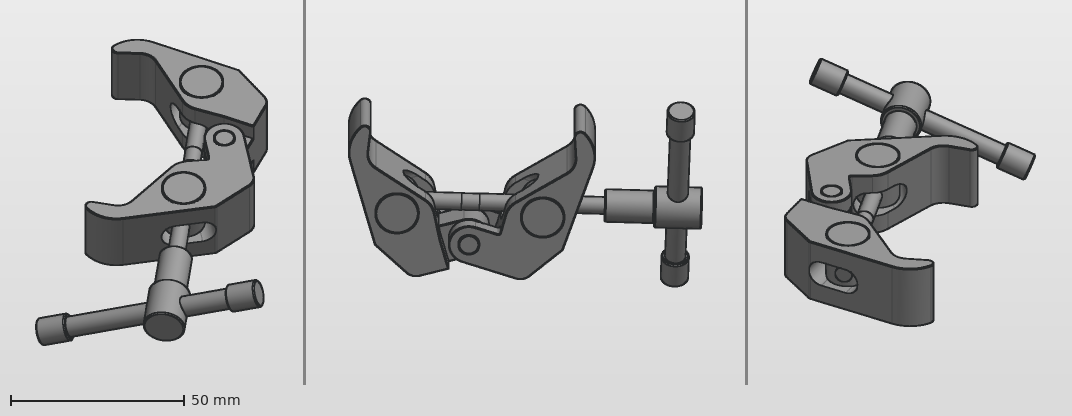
import cadquery as cq
import math


thickness = 20.0
edge_chamfer = 0.3
side_x = 5.85
shoulder_y = 7.55
shoulder_end_x = -3.6
side_corner_y = 18.6
side_corner_radius = 4.0
back_y = 26.25
back_corner_x = -7.1
back_corner_radius = 1.0
nose_x = -34.3
nose_radius = 11.0
tip_x = -44.2
tip_radius = 1.8
finger_angle = 22.0
throat_radius = 5.25
flank_angle = 39.5
heel_x = -15.0
heel_y = 6.75
heel_radius = 6.5

lug_radius = side_x
lug_root_y = 2 * lug_radius
tongue_thickness = 9.5
fork_gap = 10.5
notch_radius = 0.6
lower_jaw_turn = 34.0
hinge_pin_radius = 3.1

barrel_x = -15.0
barrel_y = 17.4
barrel_radius = 6.35
slot_length = 16.0
slot_width = 8.0
end_chamfer = 0.4

screw_diameter = 5.0
neck_diameter = 4.9
neck_start = 18.6
neck_end = 23.8
sleeve_start = 59.9
sleeve_diameter = 9.5
hub_start = 74.3
hub_diameter = 12.0
hub_end = 88.0

handle_station = 80.9
handle_tilt = 21.38
handle_slide = 5.35
handle_length = 68.2
handle_diameter = 6.0
cap_diameter = 8.0
cap_length = 9.0

through = 4 * thickness


def turned(x, y, degrees):
    """Rotate a point about the origin of the XY plane."""
    angle = math.radians(degrees)
    return (
        x * math.cos(angle) - y * math.sin(angle),
        x * math.sin(angle) + y * math.cos(angle),
    )


def on_circle(center, radius, degrees):
    dx, dy = turned(radius, 0, degrees)
    return (center[0] + dx, center[1] + dy)


def vertical_edge_at(x, y):
    return cq.selectors.NearestToPointSelector((x, y, 0))


def chamfered_faces(body):
    """Chamfer the outline of the top and bottom faces."""
    return body.faces("<Z or >Z").edges().chamfer(edge_chamfer)


def jaw_body():
    """Jaw plate without its hinge lug."""
    nose_center = (nose_x, back_y - nose_radius)
    tip_center_x = tip_x + tip_radius
    center_dx = tip_center_x - nose_x
    center_dy = math.sqrt((nose_radius - tip_radius) ** 2 - center_dx**2)
    tip_center = (tip_center_x, nose_center[1] + center_dy)
    nose_end_angle = math.degrees(math.atan2(center_dy, center_dx))
    nose_mid_angle = (90 + nose_end_angle) / 2

    finger_start = on_circle(tip_center, tip_radius, finger_angle - 90)
    finger_slope = math.tan(math.radians(finger_angle))
    flank_slope = math.tan(math.radians(flank_angle))
    finger_rise = heel_y - finger_start[1] + finger_slope * finger_start[0]
    throat_x = (finger_rise + flank_slope * heel_x) / (finger_slope + flank_slope)
    throat_y = heel_y + flank_slope * (heel_x - throat_x)

    body = (
        cq.Workplane("XY", origin=(0, 0, -thickness / 2))
        .moveTo(side_x, shoulder_y)
        .lineTo(side_x, side_corner_y)
        .lineTo(back_corner_x, back_y)
        .lineTo(nose_x, back_y)
        .threePointArc(
            on_circle(nose_center, nose_radius, nose_mid_angle),
            on_circle(nose_center, nose_radius, nose_end_angle),
        )
        .threePointArc(on_circle(tip_center, tip_radius, 180), finger_start)
        .lineTo(throat_x, throat_y)
        .lineTo(heel_x, heel_y)
        .lineTo(shoulder_end_x, shoulder_y)
        .close()
        .extrude(thickness)
    )
    rounded_corners = (
        (side_x, side_corner_y, side_corner_radius),
        (back_corner_x, back_y, back_corner_radius),
        (throat_x, throat_y, throat_radius),
        (heel_x, heel_y, heel_radius),
    )
    for x, y, radius in rounded_corners:
        body = body.edges(vertical_edge_at(x, y)).fillet(radius)
    return body


def hinge_lug(height):
    """Round-ended plate about the hinge axis that runs into the jaw body."""
    return (
        cq.Workplane("XY", origin=(0, 0, -height / 2))
        .moveTo(lug_radius, 0)
        .lineTo(lug_radius, lug_root_y)
        .lineTo(-lug_radius, lug_root_y)
        .lineTo(-lug_radius, 0)
        .threePointArc((0, -lug_radius), (lug_radius, 0))
        .close()
        .extrude(height)
    )


def with_holes(jaw):
    """Cut the hinge hole, the barrel hole and the screw slot."""
    hinge_hole = cq.Workplane("XY").circle(hinge_pin_radius).extrude(through, both=True)
    barrel_hole = (
        cq.Workplane("XY")
        .center(barrel_x, barrel_y)
        .circle(barrel_radius)
        .extrude(through, both=True)
    )
    screw_slot = (
        cq.Workplane("XZ")
        .center(barrel_x, 0)
        .slot2D(slot_length, slot_width)
        .extrude(through, both=True)
    )
    return jaw.cut(hinge_hole).cut(barrel_hole).cut(screw_slot)


def make_upper_jaw():
    tongue = chamfered_faces(hinge_lug(tongue_thickness))
    return with_holes(chamfered_faces(jaw_body()).union(tongue))


def make_lower_jaw():
    notch_edge = vertical_edge_at(-lug_radius, shoulder_y)
    jaw = jaw_body().union(hinge_lug(thickness)).edges(notch_edge).fillet(notch_radius)
    fork_slot = cq.Workplane("XY").box(4 * lug_radius, 2 * lug_root_y, fork_gap).cut(jaw_body())
    jaw = with_holes(chamfered_faces(jaw).cut(fork_slot))
    return jaw.mirror("XZ").rotate((0, 0, 0), (0, 0, 1), lower_jaw_turn)


lower_barrel_x, lower_barrel_y = turned(barrel_x, -barrel_y, lower_jaw_turn)
barrel_span = math.hypot(lower_barrel_x - barrel_x, lower_barrel_y - barrel_y)
screw_axis = (
    (lower_barrel_x - barrel_x) / barrel_span,
    (lower_barrel_y - barrel_y) / barrel_span,
    0,
)
level = math.cos(math.radians(handle_tilt))
rise = math.sin(math.radians(handle_tilt))
handle_axis = (-screw_axis[1] * level, screw_axis[0] * level, rise)


def along(start, axis, distance):
    return tuple(s + a * distance for s, a in zip(start, axis))


screw_origin = (barrel_x, barrel_y, 0)
handle_cross = along(screw_origin, screw_axis, handle_station)


def rod(origin, axis, start, end, diameter):
    """Cylinder between two distances along an axis."""
    plane = cq.Plane(along(origin, axis, start), normal=axis)
    return cq.Workplane(plane).circle(diameter / 2).extrude(end - start)


def chamfered_ends(cylinder):
    return cylinder.faces("%PLANE").edges().chamfer(end_chamfer)


def make_cross_pin(x, y, radius):
    """Pin flush with both faces of the jaws."""
    pin = cq.Workplane("XY", origin=(x, y, -thickness / 2)).circle(radius).extrude(thickness)
    return chamfered_ends(pin)


def make_barrel(x, y):
    bore = rod(screw_origin, screw_axis, -through, through, screw_diameter)
    return make_cross_pin(x, y, barrel_radius).cut(bore)


def make_screw():
    screw = rod(screw_origin, screw_axis, -barrel_radius, neck_start, screw_diameter)
    screw = screw.union(rod(screw_origin, screw_axis, neck_start, neck_end, neck_diameter))
    screw = screw.union(rod(screw_origin, screw_axis, neck_end, sleeve_start, screw_diameter))
    sleeve = rod(screw_origin, screw_axis, sleeve_start, hub_start, sleeve_diameter)
    hub = rod(screw_origin, screw_axis, hub_start, hub_end, hub_diameter)
    for thick_part in (sleeve, hub):
        screw = screw.union(chamfered_ends(thick_part))
    cross_hole = rod(handle_cross, handle_axis, -hub_diameter, hub_diameter, handle_diameter)
    return screw.cut(cross_hole)


def make_handle():
    low_end = -handle_slide - handle_length / 2
    high_end = low_end + handle_length
    handle = rod(handle_cross, handle_axis, low_end, high_end, handle_diameter)
    for cap_start in (low_end, high_end - cap_length):
        cap = rod(handle_cross, handle_axis, cap_start, cap_start + cap_length, cap_diameter)
        handle = handle.union(chamfered_ends(cap))
    return handle


upper_jaw = make_upper_jaw()
lower_jaw = make_lower_jaw()
hinge_pin = make_cross_pin(0, 0, hinge_pin_radius)
barrel_places = ((barrel_x, barrel_y), (lower_barrel_x, lower_barrel_y))
barrels = [make_barrel(x, y) for x, y in barrel_places]
screw = make_screw()
handle = make_handle()

result = cq.Compound.makeCompound(
    [
        upper_jaw.val(),
        lower_jaw.val(),
        hinge_pin.val(),
        *[barrel.val() for barrel in barrels],
        screw.val(),
        handle.val(),
    ]
)